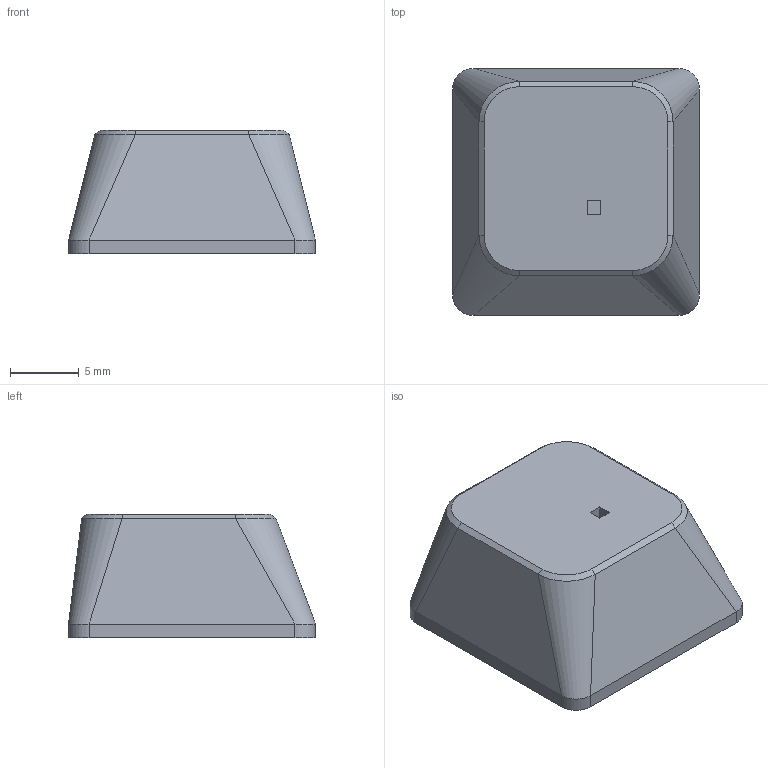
import cadquery as cq

base_side = 18.0
base_corner_radius = 1.5
skirt_height = 1.0

total_height = 9.0
top_side = 14.0
top_corner_radius = 3.0
top_shift_y = 1.0

rim_height = 0.3
rim_inset = 0.3

hole_side = 1.0
hole_depth = 1.0
hole_x = 1.32
hole_y = -1.13

rim_start_z = total_height - rim_height
taper_fraction = (rim_start_z - skirt_height) / (total_height - skirt_height)
rim_start_side = base_side + taper_fraction * (top_side - base_side)
rim_start_radius = base_corner_radius + taper_fraction * (top_corner_radius - base_corner_radius)
rim_start_shift_y = taper_fraction * top_shift_y

face_side = top_side - 2 * rim_inset
face_radius = rim_start_radius - (rim_start_side - face_side) / 2


def rounded_square(side, radius, shift_y, z):
    """Square outline with rounded corners at height z, shifted along Y."""
    outline = cq.Sketch().rect(side, side).vertices().fillet(radius)
    return outline.moved(cq.Location(cq.Vector(0, shift_y, z)))


def loft_between(lower_outline, upper_outline):
    """Solid with straight walls from one outline to another above it."""
    return cq.Workplane("XY").placeSketch(lower_outline, upper_outline).loft(ruled=True)


def make_skirt():
    """Straight-walled band at the bottom of the cap."""
    outline = rounded_square(base_side, base_corner_radius, 0, 0)
    return cq.Workplane("XY").placeSketch(outline).extrude(skirt_height)


def make_tapered_body():
    """Leaning taper from the skirt up to the start of the rim."""
    skirt_top = rounded_square(base_side, base_corner_radius, 0, skirt_height)
    rim_start = rounded_square(rim_start_side, rim_start_radius, rim_start_shift_y, rim_start_z)
    return loft_between(skirt_top, rim_start)


def make_rim():
    """Bevelled slice that leads up to the flat top face."""
    rim_start = rounded_square(rim_start_side, rim_start_radius, rim_start_shift_y, rim_start_z)
    top_face = rounded_square(face_side, face_radius, rim_start_shift_y, total_height)
    return loft_between(rim_start, top_face)


def make_hole():
    """Square cutter reaching down from the top face."""
    top_plane = cq.Workplane("XY", origin=(hole_x, hole_y, total_height))
    return top_plane.rect(hole_side, hole_side).extrude(-hole_depth)


result = make_skirt().union(make_tapered_body()).union(make_rim()).cut(make_hole())